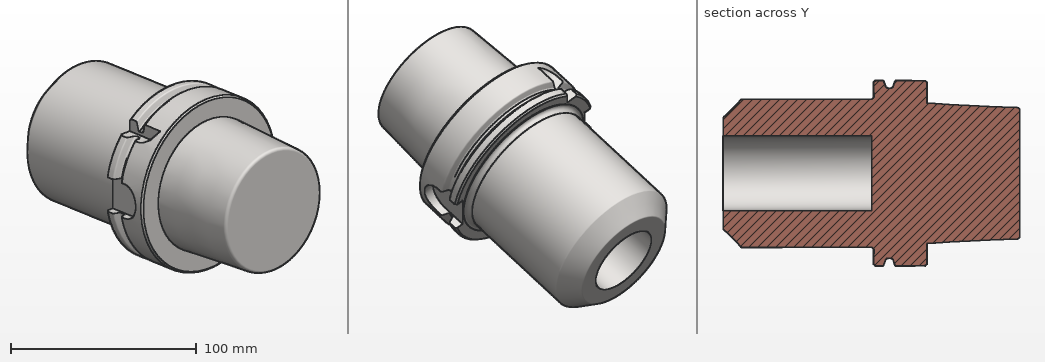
import cadquery as cq
import math

TOTAL_LENGTH = 160.0
SHANK_LENGTH = 50.0
FLANGE_WIDTH = 29.0
FLANGE_BACK = TOTAL_LENGTH - SHANK_LENGTH
FLANGE_FRONT = FLANGE_BACK - FLANGE_WIDTH

BODY_RADIUS = 40.0
NOSE_CHAMFER = 10.0
NOSE_EDGE_RADIUS = 1.0
NECK_RADIUS = 39.9
NECK_FILLET = 2.2
NECK_STRAIGHT_LENGTH = 1.4
RECESS_RADIUS = 43.2
RECESS_DEPTH = 0.4
RECESS_FLOOR = FLANGE_FRONT + RECESS_DEPTH
NECK_FILLET_START = RECESS_FLOOR - NECK_FILLET
NECK_START = NECK_FILLET_START - NECK_STRAIGHT_LENGTH
BORE_RADIUS = 20.0
BORE_DEPTH = 80.0

FLANGE_RADIUS = 50.0
FLANGE_CHAMFER = 1.0
GROOVE_CENTER = FLANGE_BACK - 20.4
GROOVE_ROOT_RADIUS = 46.0
GROOVE_ROOT_WIDTH = 3.3
GROOVE_HALF_ANGLE = 20.0
GROOVE_LIP_FILLET = 1.0
GROOVE_ROOT_FILLET = 1.0
ROOT_RANK = 0
LIP_RANK = -1

SHANK_LARGE_RADIUS = 38.0
SHANK_SMALL_RADIUS = 35.5
SHANK_END_FILLET = 1.8

CUT_END = FLANGE_BACK - 5.0
CUT_CORNER_RADIUS = 10.0
SLOT_FLOOR = 44.0
NEAR_SLOT_WIDTH = 20.0
FAR_SLOT_WIDTH = 22.0
NOTCH_OFFSET = 31.5
CLEARANCE = 5.0


def disc(start, length, radius):
    """Cylinder on the tool axis."""
    return cq.Workplane("YZ", origin=(start, 0, 0)).circle(radius).extrude(length)


def nose_body():
    """Cylindrical body with a chamfered front whose edges are lightly rounded."""
    body = disc(0, NECK_START, BODY_RADIUS).faces("<X").chamfer(NOSE_CHAMFER)
    return body.edges("%CIRCLE and (not >X)").fillet(NOSE_EDGE_RADIUS)


def neck():
    """Slightly reduced neck that flares into the flange recess with a quarter round."""
    flare_radius = NECK_RADIUS + NECK_FILLET
    return (
        cq.Workplane("XY")
        .moveTo(NECK_START, 0)
        .lineTo(NECK_START, NECK_RADIUS)
        .lineTo(NECK_FILLET_START, NECK_RADIUS)
        .radiusArc((RECESS_FLOOR, flare_radius), -NECK_FILLET)
        .lineTo(RECESS_FLOOR, 0)
        .close()
        .revolve(360, (0, 0, 0), (1, 0, 0))
    )


def groove():
    """Trapezoidal ring that cuts the gripper groove."""
    depth = FLANGE_RADIUS - GROOVE_ROOT_RADIUS
    root_half = GROOVE_ROOT_WIDTH / 2
    mouth_half = root_half + depth * math.tan(math.radians(GROOVE_HALF_ANGLE))
    return (
        cq.Workplane("XY")
        .moveTo(GROOVE_CENTER - root_half, GROOVE_ROOT_RADIUS)
        .lineTo(GROOVE_CENTER + root_half, GROOVE_ROOT_RADIUS)
        .lineTo(GROOVE_CENTER + mouth_half, FLANGE_RADIUS)
        .lineTo(GROOVE_CENTER - mouth_half, FLANGE_RADIUS)
        .close()
        .revolve(360, (0, 0, 0), (1, 0, 0))
    )


def groove_edges(ring, radius_index):
    """Groove circles at one radius, ranked from smallest (0) to largest (-1)."""
    reach = FLANGE_RADIUS + CLEARANCE
    near_groove = cq.selectors.BoxSelector(
        (FLANGE_FRONT + 2 * FLANGE_CHAMFER, -reach, -reach),
        (FLANGE_BACK - 2 * FLANGE_CHAMFER, reach, reach),
    )
    return ring.edges(near_groove).edges("%CIRCLE").edges(cq.selectors.RadiusNthSelector(radius_index))


def flange():
    """Collar with chamfered rims, a shallow front recess and a rounded gripper groove."""
    ring = disc(FLANGE_FRONT, FLANGE_WIDTH, FLANGE_RADIUS).edges().chamfer(FLANGE_CHAMFER)
    ring = ring.cut(disc(FLANGE_FRONT, RECESS_DEPTH, RECESS_RADIUS))
    ring = ring.cut(groove())
    ring = groove_edges(ring, LIP_RANK).fillet(GROOVE_LIP_FILLET)
    return groove_edges(ring, ROOT_RANK).fillet(GROOVE_ROOT_FILLET)


def shank():
    """Tapered shank with a rounded end."""
    cone = (
        cq.Workplane("XY")
        .moveTo(FLANGE_BACK, 0)
        .lineTo(FLANGE_BACK, SHANK_LARGE_RADIUS)
        .lineTo(TOTAL_LENGTH, SHANK_SMALL_RADIUS)
        .lineTo(TOTAL_LENGTH, 0)
        .close()
        .revolve(360, (0, 0, 0), (1, 0, 0))
    )
    return cone.faces(">X").edges().fillet(SHANK_END_FILLET)


def drive_slot(width, side):
    """Radial drive slot on the +Y (side = 1) or -Y (side = -1) flank of the flange."""
    half = width / 2
    bend = CUT_END - CUT_CORNER_RADIUS
    flat_half = half - CUT_CORNER_RADIUS
    outline = (
        cq.Workplane("XZ", origin=(0, side * SLOT_FLOOR, 0))
        .moveTo(FLANGE_FRONT, -half)
        .lineTo(bend, -half)
        .radiusArc((CUT_END, -flat_half), -CUT_CORNER_RADIUS)
    )
    if flat_half > 0:
        outline = outline.lineTo(CUT_END, flat_half)
    outline = outline.radiusArc((bend, half), -CUT_CORNER_RADIUS).lineTo(FLANGE_FRONT, half).close()
    return outline.extrude(-side * (FLANGE_RADIUS - SLOT_FLOOR + CLEARANCE))


def orientation_notch():
    """Corner notch on the -Y, +Z quarter of the flange, running out upwards in an arc."""
    bend = CUT_END - CUT_CORNER_RADIUS
    top = FLANGE_RADIUS + CLEARANCE
    return (
        cq.Workplane("XZ", origin=(0, -NOTCH_OFFSET, 0))
        .moveTo(FLANGE_FRONT, NOTCH_OFFSET)
        .lineTo(bend, NOTCH_OFFSET)
        .radiusArc((CUT_END, NOTCH_OFFSET + CUT_CORNER_RADIUS), -CUT_CORNER_RADIUS)
        .lineTo(CUT_END, top)
        .lineTo(FLANGE_FRONT, top)
        .close()
        .extrude(FLANGE_RADIUS)
    )


holder = nose_body().union(neck()).union(flange()).union(shank())
holder = holder.cut(drive_slot(NEAR_SLOT_WIDTH, -1))
holder = holder.cut(drive_slot(FAR_SLOT_WIDTH, 1))
holder = holder.cut(orientation_notch())
result = holder.cut(disc(0, BORE_DEPTH, BORE_RADIUS))